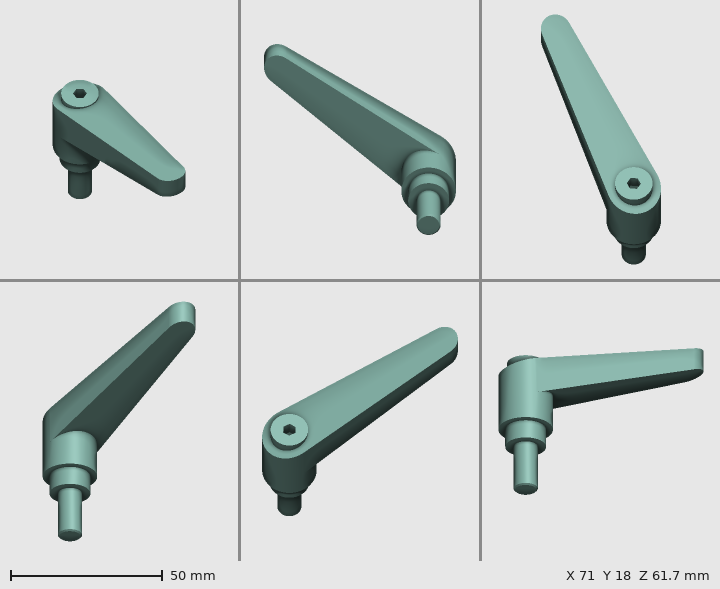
import cadquery as cq
import math

stud_diameter = 8.0
stud_length = 16.0
stud_chamfer = 0.5
collar_diameter = 13.5
collar_height = 6.4
barrel_radius = 9.0
button_diameter = 12.4
button_top = 46.9
overall_length = 71.0
overall_height = 61.66
tip_radius = 5.0
tip_thickness = 7.4
top_angle = 15.35
underside_angle = 19.85
socket_across_flats = 4.0
socket_depth = 5.0
socket_point_angle = 118.0

barrel_bottom = stud_length + collar_height
arm_end = overall_length - barrel_radius
tip_center = arm_end - tip_radius

flank_angle = math.asin((barrel_radius - tip_radius) / tip_center)
barrel_tangent_x = barrel_radius * math.sin(flank_angle)
barrel_tangent_y = barrel_radius * math.cos(flank_angle)
tip_tangent_x = tip_center + tip_radius * math.sin(flank_angle)
tip_tangent_y = tip_radius * math.cos(flank_angle)


def top_height(x):
    return overall_height - (arm_end - x) * math.tan(math.radians(top_angle))


def underside_height(x):
    end_height = overall_height - tip_thickness
    return end_height - (arm_end - x) * math.tan(math.radians(underside_angle))


def side_prism(points):
    """Extrude an XZ outline across the full width of the barrel."""
    return cq.Workplane("XZ").polyline(points).close().extrude(barrel_radius, both=True)


def make_arm():
    plan = (
        cq.Workplane("XY")
        .moveTo(barrel_tangent_x, barrel_tangent_y)
        .lineTo(tip_tangent_x, tip_tangent_y)
        .threePointArc((arm_end, 0), (tip_tangent_x, -tip_tangent_y))
        .lineTo(barrel_tangent_x, -barrel_tangent_y)
        .close()
        .extrude(overall_height)
    )
    side = side_prism([
        (barrel_tangent_x, underside_height(barrel_tangent_x)),
        (arm_end, underside_height(arm_end)),
        (arm_end, top_height(arm_end)),
        (barrel_tangent_x, top_height(barrel_tangent_x)),
    ])
    return plan.intersect(side)


def make_barrel():
    """Round barrel whose top is cut along the sloping upper face of the arm."""
    cylinder = cq.Workplane("XY").circle(barrel_radius).extrude(overall_height)
    side = side_prism([
        (-barrel_radius, barrel_bottom),
        (barrel_radius, barrel_bottom),
        (barrel_radius, top_height(barrel_radius)),
        (-barrel_radius, top_height(-barrel_radius)),
    ])
    return cylinder.intersect(side)


def make_stud():
    stud = cq.Workplane("XY").circle(stud_diameter / 2).extrude(barrel_bottom)
    return stud.faces("<Z").chamfer(stud_chamfer)


def make_collar():
    return cq.Workplane("XY").workplane(offset=stud_length).circle(collar_diameter / 2).extrude(collar_height)


def make_button():
    height = button_top - barrel_bottom
    return cq.Workplane("XY").workplane(offset=barrel_bottom).circle(button_diameter / 2).extrude(height)


def make_socket():
    """Hexagonal socket, corners along X, ending in a conical drill point."""
    corner_radius = socket_across_flats / math.sqrt(3)
    point_depth = corner_radius / math.tan(math.radians(socket_point_angle / 2))
    floor = button_top - socket_depth
    drill = (
        cq.Workplane("XZ")
        .moveTo(0, floor - point_depth)
        .lineTo(corner_radius, floor)
        .lineTo(corner_radius, button_top)
        .lineTo(0, button_top)
        .close()
        .revolve(360, (0, 0), (0, 1))
    )
    hexagon = (
        cq.Workplane("XY")
        .workplane(offset=floor - point_depth)
        .polygon(6, 2 * corner_radius)
        .extrude(socket_depth + point_depth)
    )
    return hexagon.intersect(drill)


handle = make_barrel().union(make_arm()).union(make_button())
result = handle.union(make_collar()).union(make_stud()).cut(make_socket())